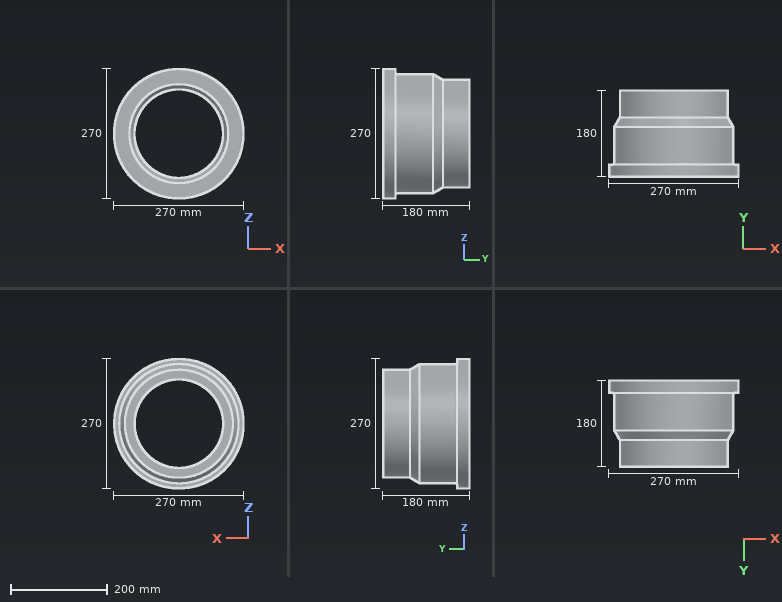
import cadquery as cq

length = 180.0
flange_diameter = 270.0
flange_thickness = 26.0
body_diameter = 248.5
spigot_diameter = 225.0
root_fillet = 3.2

spigot_length = 56.0
cone_length = 20.2

body_bore = 206.0
spigot_bore = 184.0
bore_taper_start = 88.8
bore_taper_length = cone_length

flange_radius = flange_diameter / 2
body_radius = body_diameter / 2
spigot_radius = spigot_diameter / 2
body_bore_radius = body_bore / 2
spigot_bore_radius = spigot_bore / 2
cone_end = length - spigot_length
cone_start = cone_end - cone_length
bore_taper_end = bore_taper_start + bore_taper_length


def turn(profile):
    """Revolve a closed XY half profile fully about the pipe axis."""
    return profile.revolve(360, (0, 0, 0), (0, 1, 0))


def make_outside():
    """Flange with filleted root, body, cone and spigot."""
    profile = (
        cq.Workplane("XY")
        .moveTo(0, 0)
        .lineTo(flange_radius, 0)
        .lineTo(flange_radius, flange_thickness)
        .lineTo(body_radius + root_fillet, flange_thickness)
        .radiusArc((body_radius, flange_thickness + root_fillet), root_fillet)
        .lineTo(body_radius, cone_start)
        .lineTo(spigot_radius, cone_end)
        .lineTo(spigot_radius, length)
        .lineTo(0, length)
        .close()
    )
    return turn(profile)


def make_bore():
    """Through bore that tapers down a little ahead of the outside cone."""
    profile = (
        cq.Workplane("XY")
        .moveTo(0, 0)
        .lineTo(body_bore_radius, 0)
        .lineTo(body_bore_radius, bore_taper_start)
        .lineTo(spigot_bore_radius, bore_taper_end)
        .lineTo(spigot_bore_radius, length)
        .lineTo(0, length)
        .close()
    )
    return turn(profile)


result = make_outside().cut(make_bore())